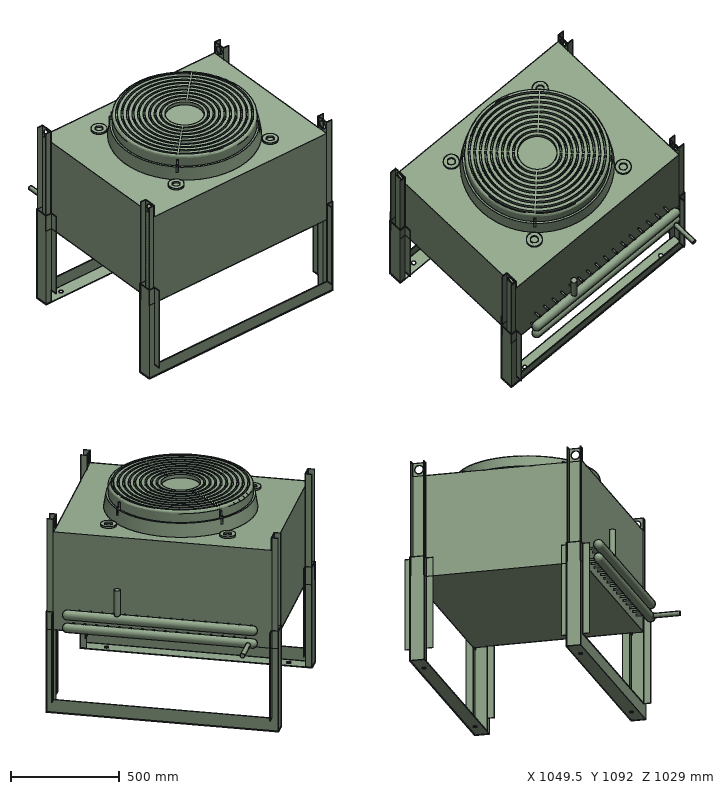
import cadquery as cq

sheet = 3.0

casing_x = 813.0
casing_y = 1022.0
casing_bottom = 416.0
casing_top = 908.0

upright_width = 64.0
upright_top = 970.0
lift_hole_z = 938.0
lift_hole_diameter = 40.0

leg_outer_y = 546.0
leg_top = 506.0
flange_bottom = 67.0
flange_width = 32.0

rail_height = flange_bottom
rail_hole_radius = 10.0
rail_hole_inset = 86.0

cowl_base_radius = 355.0
cowl_top_radius = 344.0
cowl_top = 973.0
guard_radius = 334.0
guard_top = 1029.0
guard_round = 12.0
hub_radius = 91.0
guard_depth = 17.0
slot_count = 9
slot_width = 9.0
slot_first_radius = 106.0
slot_last_radius = 309.0

stay_width = 10.0
stay_upper_reach = 341.0
stay_lower_reach = 348.0
stay_upper_top = 1009.0
stay_step = 986.0

eye_offset = 280.0
eye_radius = 37.0
eye_hole_radius = 19.0
eye_height = 9.0

header_x = -462.0
header_y_end = 458.0
upper_header_z = 521.0
upper_header_radius = 23.0
lower_header_z = 457.0
lower_header_radius = 22.0
outlet_y = 201.0
outlet_radius = 14.0
outlet_top = 668.0
inlet_y = -418.0
inlet_radius = 11.0
inlet_tip_x = -608.0

tubes_per_header = 16
tube_radius = 4.0
tube_end_y = 418.0
tube_pitch = 2 * tube_end_y / (2 * tubes_per_header - 1)

casing_side_x = casing_x / 2
casing_end_y = casing_y / 2
upright_x = casing_side_x - upright_width / 2
leg_width = upright_width + 2 * sheet
leg_foot_width = leg_width + 2 * flange_width
upright_outer_y = leg_outer_y - sheet
web_outer_y = casing_end_y + sheet
sides = (-1, 1)


def block(x_range, y_range, z_range):
    """Rectangular block between the given limits, in any order along X and Y."""
    x0, x1 = sorted(x_range)
    y0, y1 = sorted(y_range)
    z0, z1 = z_range
    return cq.Workplane("XY").box(x1 - x0, y1 - y0, z1 - z0, centered=False).translate((x0, y0, z0))


def rod(radius, start, direction, length):
    """Round bar from a start point along a direction."""
    return cq.Workplane(cq.Solid.makeCylinder(radius, length, cq.Vector(*start), cq.Vector(*direction)))


def fan_disc(radius, z_bottom, z_top):
    """Disc on the fan axis."""
    return cq.Workplane("XY").workplane(offset=z_bottom).circle(radius).extrude(z_top - z_bottom)


def make_upright(side_x, side_y):
    """Channel standing on the casing end, with a lifting hole above the casing."""
    centre_x = side_x * upright_x
    x_range = (centre_x - upright_width / 2, centre_x + upright_width / 2)
    channel = block(x_range, (side_y * casing_end_y, side_y * upright_outer_y), (casing_bottom, upright_top))
    hollow = block(
        (x_range[0] + sheet, x_range[1] - sheet),
        (side_y * web_outer_y, side_y * upright_outer_y),
        (casing_bottom, upright_top),
    )
    lift_hole = rod(
        lift_hole_diameter / 2, (centre_x, side_y * casing_end_y, lift_hole_z), (0, side_y, 0), sheet
    )
    return channel.cut(hollow).cut(lift_hole)


def make_eyes():
    """Four raised rings on the casing top."""
    return (
        cq.Workplane("XY")
        .workplane(offset=casing_top)
        .rect(2 * eye_offset, 2 * eye_offset, forConstruction=True)
        .vertices()
        .circle(eye_radius)
        .circle(eye_hole_radius)
        .extrude(eye_height)
    )


def make_casing():
    casing = block(
        (-casing_side_x, casing_side_x), (-casing_end_y, casing_end_y), (casing_bottom, casing_top)
    )
    for side_x in sides:
        for side_y in sides:
            casing = casing.union(make_upright(side_x, side_y))
    return casing.union(make_eyes())


def make_cowl():
    """Tapered disc standing on the casing."""
    return (
        cq.Workplane("XZ")
        .polyline([
            (0, casing_top),
            (cowl_base_radius, casing_top),
            (cowl_top_radius, cowl_top),
            (0, cowl_top),
        ])
        .close()
        .revolve(360, (0, 0, 0), (0, 1, 0))
    )


def make_stay(angle):
    """Stay that bridges the guard slots and runs down the outside of the cowl."""
    half = stay_width / 2
    rim_flat_radius = guard_radius - guard_round
    slot_floor = guard_top - guard_depth
    bridge = block((hub_radius, rim_flat_radius), (-half, half), (slot_floor, guard_top))
    upper = block((rim_flat_radius, stay_upper_reach), (-half, half), (stay_step, stay_upper_top))
    lower = block((rim_flat_radius, stay_lower_reach), (-half, half), (casing_top, stay_step))
    return bridge.union(upper).union(lower).rotate((0, 0, 0), (0, 0, 1), angle)


def make_guard(cowl):
    """Round-edged disc with a hub recess, ring slots and four stays fitted over the cowl."""
    guard = fan_disc(guard_radius, cowl_top, guard_top).faces(">Z").edges().fillet(guard_round)
    slot_floor = guard_top - guard_depth
    guard = guard.cut(fan_disc(hub_radius, slot_floor, guard_top))
    slot_pitch = (slot_last_radius - slot_first_radius) / (slot_count - 1)
    for i in range(slot_count):
        inner = slot_first_radius + i * slot_pitch
        slot = fan_disc(inner + slot_width, slot_floor, guard_top)
        guard = guard.cut(slot.cut(fan_disc(inner, slot_floor, guard_top)))
    for angle in (45, 135, 225, 315):
        guard = guard.union(make_stay(angle).cut(cowl))
    return guard


def make_header(radius, z, first_tube_y, connection):
    """Round-ended pipe along Y with its connection and its feeder tubes to the casing."""
    straight_end = header_y_end - radius
    header = rod(radius, (header_x, -straight_end, z), (0, 1, 0), 2 * straight_end)
    for side_y in sides:
        cap = cq.Workplane("XY").sphere(radius).translate((header_x, side_y * straight_end, z))
        header = header.union(cap)
    for i in range(tubes_per_header):
        tube_y = first_tube_y + 2 * i * tube_pitch
        header = header.union(rod(tube_radius, (header_x, tube_y, z), (1, 0, 0), -casing_side_x - header_x))
    return header.union(connection)


def make_leg(side_x, side_y):
    """Hat channel: its hat wraps the upright, its flanges lie against the casing end."""
    centre_x = side_x * upright_x
    half_hat = leg_width / 2
    half_gap = upright_width / 2
    half_foot = leg_foot_width / 2
    hat = block(
        (centre_x - half_hat, centre_x + half_hat),
        (side_y * web_outer_y, side_y * leg_outer_y),
        (0, leg_top),
    )
    flanges = block(
        (centre_x - half_foot, centre_x + half_foot),
        (side_y * casing_end_y, side_y * web_outer_y),
        (flange_bottom, leg_top),
    )
    hollow = block(
        (centre_x - half_gap, centre_x + half_gap),
        (side_y * casing_end_y, side_y * upright_outer_y),
        (0, leg_top),
    )
    return hat.union(flanges).cut(hollow)


def make_rail(side_x):
    """Angle with an outer wall and a floor that reaches into both legs and closes them below."""
    outer_x = side_x * (upright_x + leg_width / 2)
    inner_x = side_x * (upright_x - leg_width / 2)
    y_range = (-upright_outer_y, upright_outer_y)
    floor = block((inner_x, outer_x), y_range, (0, sheet))
    wall = block((outer_x - side_x * sheet, outer_x), y_range, (0, rail_height))
    rail = floor.union(wall)
    for side_y in sides:
        hole_y = side_y * (web_outer_y - rail_hole_inset)
        rail = rail.cut(rod(rail_hole_radius, (side_x * upright_x, hole_y, 0), (0, 0, 1), sheet))
    return rail


def make_support_frame(side_x):
    """Two legs joined along Y by a floor rail."""
    frame = make_rail(side_x)
    for side_y in sides:
        frame = frame.union(make_leg(side_x, side_y))
    return frame


casing = make_casing()
cowl = make_cowl()
guard = make_guard(cowl)

outlet = rod(outlet_radius, (header_x, outlet_y, upper_header_z), (0, 0, 1), outlet_top - upper_header_z)
upper_header = make_header(upper_header_radius, upper_header_z, -tube_end_y, outlet)

inlet = rod(inlet_radius, (header_x, inlet_y, lower_header_z), (-1, 0, 0), header_x - inlet_tip_x)
lower_header = make_header(lower_header_radius, lower_header_z, -tube_end_y + tube_pitch, inlet)

support_frames = [make_support_frame(side_x) for side_x in sides]

result = cq.Compound.makeCompound([
    casing.val(),
    cowl.val(),
    guard.val(),
    upper_header.val(),
    lower_header.val(),
    *[frame.val() for frame in support_frames],
])